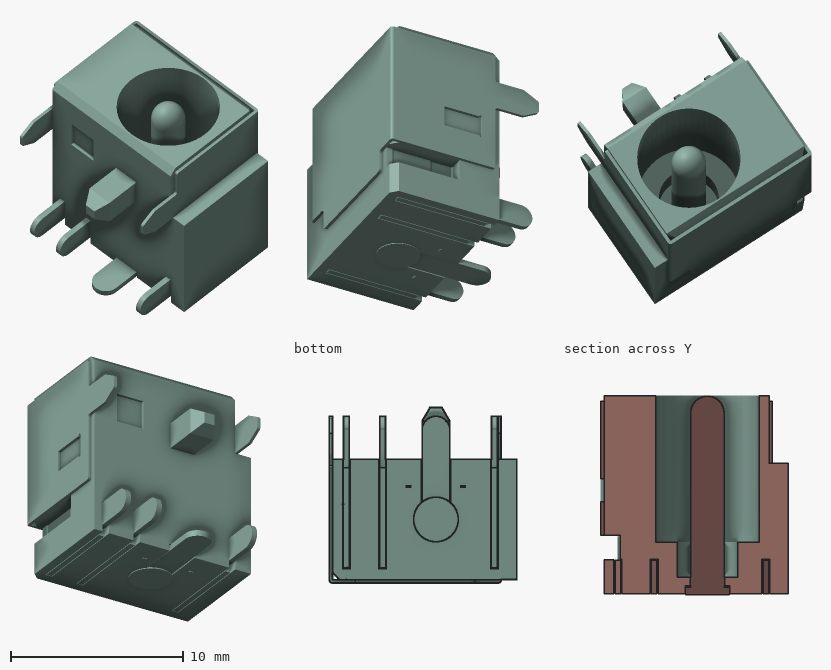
import cadquery as cq


LEFT_X = -6.0
RIGHT_X = 3.6
FOOT_RIGHT_X = 4.7
DEPTH = 7.0
HEIGHT = 11.52
FRONT_Y = -DEPTH / 2
BACK_Y = DEPTH / 2
FOOT_TOP = 7.62
EDGE_CHAMFER = 0.4

BORE_DIAMETER = 6.0
BORE_FLOOR = 3.01
WELL_DIAMETER = 3.49
WELL_FLOOR = 1.0
PIN_DIAMETER = 2.0
PIN_TOP = HEIGHT
RIVET_DIAMETER = 2.59

PEG_SIZE = 1.62
PEG_TIP_SIZE = 0.69
PEG_LENGTH = 3.01
PEG_TAPER = 0.8
PEG_Z = 7.55

RECESS_SIZE = 1.8
RECESS_DEPTH = 0.2
RECESS_X = -3.55
RECESS_Z = 8.41

TERMINAL_XS = [-5.21, -3.1, 3.4]
TERMINAL_REACH = 2.5
TERMINAL_THICKNESS = 0.35
TERMINAL_TOP = 1.97
TERMINAL_HEIGHT = 1.47
SHOULDER_INSET = 0.5
CLEARANCE = 0.05
SLOT_LENGTH = 6.35
SLOT_TOP = 2.0

TAIL_WIDTH = 1.62
TAIL_BOTTOM = 0.03
TAIL_TOP = 0.4
TAIL_SLOT_TOP = TAIL_TOP + CLEARANCE
TAIL_SLOT_HALF = TAIL_WIDTH / 2 + CLEARANCE

POCKET_LENGTH = 4.4
POCKET_DEPTH = 0.79
POCKET_STEP_DEPTH = 0.07
POCKET_STEP_RUN = 0.09
POCKET_STEPS = [0.4, 2.94]

NUB_HEIGHT = 0.05
NUB_LENGTH = 0.27
NUB_WIDTH = 0.09
NUB_X = 1.59
NUB_Y = -1.91

SHEET = 0.2
SHIELD_TOP = 11.22
SHIELD_BOTTOM = 3.39
SHIELD_FRONT_Y = FRONT_Y + 0.35
BEND_RADIUS = 0.19
TAB_RADIUS = 0.2
CORNER_RADIUS = 0.15
PRONG_HEIGHT = 1.8
PRONG_TAPER = 1.0
PRONG_TIP_HEIGHT = 0.74
PRONG_TIP_RADIUS = 0.2
PRONG_TOP = FOOT_TOP + PRONG_HEIGHT
TAB_INSET = 1.5
WINDOW_HEIGHT = 1.32
WINDOW_LENGTH = 2.48
WINDOW_FRONT_Y = FRONT_Y + 1.23
WINDOW_Z = 6.03
RELIEF_LENGTH = 0.2
RELIEF_HEIGHT = 1.52
RELIEF_RADIUS = 0.09


def block(x_range, y_range, z_range):
    """Box between two limits along each axis."""
    lows, highs = zip(x_range, y_range, z_range)
    sizes = [high - low for low, high in zip(lows, highs)]
    return cq.Workplane().box(*sizes, centered=False).translate(lows)


def disc(diameter, bottom, top):
    """Cylinder on the bore axis."""
    return cq.Workplane().workplane(offset=bottom).circle(diameter / 2).extrude(top - bottom)


def housing_block():
    """Chamfered upper block on a wider foot."""
    upper = block((LEFT_X, RIGHT_X), (FRONT_Y, BACK_Y), (0, HEIGHT))
    upper = upper.edges("|Z and >Y").chamfer(EDGE_CHAMFER)
    upper = upper.faces(">Z").edges("<Y or >Y").chamfer(EDGE_CHAMFER)
    foot = block((0, FOOT_RIGHT_X), (FRONT_Y, BACK_Y), (0, FOOT_TOP))
    return upper.union(foot)


def locating_peg():
    """Square peg with a tapered tip, pointing to -Y."""
    straight = PEG_LENGTH - PEG_TAPER
    plane = cq.Workplane("XZ", origin=(0, FRONT_Y, PEG_Z))
    shank = plane.rect(PEG_SIZE, PEG_SIZE).extrude(straight)
    tip = (
        plane.workplane(offset=straight)
        .rect(PEG_SIZE, PEG_SIZE)
        .workplane(offset=PEG_TAPER)
        .rect(PEG_TIP_SIZE, PEG_TIP_SIZE)
        .loft(ruled=True)
    )
    return shank.union(tip)


def side_pocket():
    """Pocket in the left side, open to the back."""
    depth = POCKET_DEPTH
    outline = [(LEFT_X, BACK_Y), (LEFT_X + depth, BACK_Y)]
    for distance in POCKET_STEPS:
        outline.append((LEFT_X + depth, BACK_Y - distance))
        depth += POCKET_STEP_DEPTH
        outline.append((LEFT_X + depth, BACK_Y - distance - POCKET_STEP_RUN))
    end_y = BACK_Y - POCKET_LENGTH
    outline += [
        (LEFT_X + depth, end_y + POCKET_STEP_RUN),
        (LEFT_X + depth - POCKET_STEP_RUN, end_y),
        (LEFT_X, end_y),
    ]
    pocket = cq.Workplane().workplane(offset=SLOT_TOP).polyline(outline).close()
    return pocket.extrude(SHIELD_BOTTOM - SLOT_TOP)


def front_recess():
    """Shallow square recess in the front face."""
    plane = cq.Workplane("XZ", origin=(RECESS_X, FRONT_Y, RECESS_Z))
    return plane.rect(RECESS_SIZE, RECESS_SIZE).extrude(-RECESS_DEPTH)


def terminal_slot(x):
    """Slot for one side terminal, open at the front and underneath."""
    half_width = TERMINAL_THICKNESS / 2 + CLEARANCE
    return block((x - half_width, x + half_width), (FRONT_Y, FRONT_Y + SLOT_LENGTH), (0, SLOT_TOP))


def make_housing():
    """Housing with its bore, openings for the metal parts, peg and nubs."""
    body = housing_block().union(locating_peg())
    body = body.cut(disc(BORE_DIAMETER, BORE_FLOOR, HEIGHT))
    body = body.cut(disc(WELL_DIAMETER, WELL_FLOOR, BORE_FLOOR))
    body = body.cut(disc(PIN_DIAMETER, 0, WELL_FLOOR))
    body = body.cut(disc(RIVET_DIAMETER, 0, TAIL_SLOT_TOP))
    body = body.cut(block((-TAIL_SLOT_HALF, TAIL_SLOT_HALF), (FRONT_Y, 0), (0, TAIL_SLOT_TOP)))
    body = body.cut(side_pocket()).cut(front_recess())
    for x in TERMINAL_XS:
        body = body.cut(terminal_slot(x))
    nubs = (
        cq.Workplane()
        .pushPoints([(-NUB_X, NUB_Y), (NUB_X, NUB_Y)])
        .rect(NUB_LENGTH, NUB_WIDTH)
        .extrude(-NUB_HEIGHT)
    )
    return body.union(nubs)


def make_centre_contact():
    """Round-tipped pin riveted to a flat tail with a round end."""
    pin_radius = PIN_DIAMETER / 2
    dome_z = PIN_TOP - pin_radius
    dome = cq.Workplane().sphere(pin_radius).translate((0, 0, dome_z))
    pin = disc(PIN_DIAMETER, TAIL_BOTTOM, dome_z).union(dome)
    rivet = disc(RIVET_DIAMETER, -NUB_HEIGHT, TAIL_TOP)
    round_y = FRONT_Y - TERMINAL_REACH + TAIL_WIDTH / 2
    tail = block((-TAIL_WIDTH / 2, TAIL_WIDTH / 2), (round_y, 0), (TAIL_BOTTOM, TAIL_TOP))
    tail_end = disc(TAIL_WIDTH, TAIL_BOTTOM, TAIL_TOP).translate((0, round_y, 0))
    return pin.union(rivet).union(tail).union(tail_end)


def make_terminal(x):
    """Upright blade: a round-ended tongue outside and a taller shank inside its slot."""
    radius = TERMINAL_HEIGHT / 2
    bottom = TERMINAL_TOP - TERMINAL_HEIGHT
    middle = TERMINAL_TOP - radius
    tip_y = FRONT_Y - TERMINAL_REACH
    shoulder_y = FRONT_Y + SHOULDER_INSET
    end_y = FRONT_Y + SLOT_LENGTH - CLEARANCE
    outline = (
        cq.Workplane("YZ", origin=(x - TERMINAL_THICKNESS / 2, 0, 0))
        .moveTo(end_y, TERMINAL_TOP)
        .lineTo(tip_y + radius, TERMINAL_TOP)
        .threePointArc((tip_y, middle), (tip_y + radius, bottom))
        .lineTo(shoulder_y, bottom)
        .lineTo(shoulder_y, 0)
        .lineTo(end_y, 0)
        .close()
    )
    return outline.extrude(TERMINAL_THICKNESS)


def side_plate(left_x, bottom):
    """One side of the shield with its solder prong, reaching down to the given height."""
    tip_y = FRONT_Y - TERMINAL_REACH
    taper_y = tip_y + PRONG_TAPER
    middle = FOOT_TOP + PRONG_HEIGHT / 2
    tip_top = middle + PRONG_TIP_HEIGHT / 2
    tip_bottom = middle - PRONG_TIP_HEIGHT / 2
    prong = (
        cq.Workplane("YZ", origin=(left_x, 0, 0))
        .polyline([
            (0, PRONG_TOP),
            (taper_y, PRONG_TOP),
            (tip_y, tip_top),
            (tip_y, tip_bottom),
            (taper_y, FOOT_TOP),
            (0, FOOT_TOP),
        ])
        .close()
        .extrude(SHEET)
        .edges("|X and <Y")
        .fillet(PRONG_TIP_RADIUS)
    )
    sheet = block((left_x, left_x + SHEET), (SHIELD_FRONT_Y, BACK_Y), (bottom, SHIELD_TOP))
    plate = sheet.union(prong).clean()
    corner_heights = [SHIELD_TOP, PRONG_TOP]
    if bottom < FOOT_TOP:
        corner_heights += [FOOT_TOP, bottom]
    for z in corner_heights:
        corner = cq.selectors.NearestToPointSelector((left_x + SHEET / 2, SHIELD_FRONT_Y, z))
        plate = plate.edges("|X").edges(corner).fillet(CORNER_RADIUS)
    return plate


def back_plate():
    """Back of the shield with rounded bends and a narrower tab below, filleted at its root."""
    left = LEFT_X - SHEET
    right = RIGHT_X + SHEET
    plate = block((left, right), (BACK_Y, BACK_Y + SHEET), (SHIELD_BOTTOM, SHIELD_TOP))
    plate = plate.edges("|Z and >Y").fillet(BEND_RADIUS)
    tab = block(
        (left + TAB_INSET, right - TAB_INSET),
        (BACK_Y, BACK_Y + SHEET),
        (SLOT_TOP, SHIELD_BOTTOM),
    )
    tab = tab.edges("|Y and <Z").fillet(TAB_RADIUS)
    plate = plate.union(tab)
    for x in (left + TAB_INSET, right - TAB_INSET):
        root = cq.selectors.NearestToPointSelector((x, BACK_Y + SHEET / 2, SHIELD_BOTTOM))
        plate = plate.edges("|Y").edges(root).fillet(TAB_RADIUS)
    return plate


def side_window():
    """Opening in the left side plate, with a taller rounded relief at its front end."""
    x_range = (LEFT_X - SHEET, LEFT_X)
    y_range = (WINDOW_FRONT_Y, WINDOW_FRONT_Y + WINDOW_LENGTH)
    opening = block(x_range, y_range, (WINDOW_Z - WINDOW_HEIGHT / 2, WINDOW_Z + WINDOW_HEIGHT / 2))
    relief = block(
        x_range,
        (WINDOW_FRONT_Y, WINDOW_FRONT_Y + RELIEF_LENGTH),
        (WINDOW_Z - RELIEF_HEIGHT / 2, WINDOW_Z + RELIEF_HEIGHT / 2),
    )
    return opening.union(relief.edges("|X").fillet(RELIEF_RADIUS))


def make_shield():
    """U-shaped sheet around the back and both sides of the housing."""
    left_plate = side_plate(LEFT_X - SHEET, SHIELD_BOTTOM)
    right_plate = side_plate(RIGHT_X, FOOT_TOP)
    return back_plate().union(left_plate).union(right_plate).cut(side_window())


housing = make_housing()
shield = make_shield()
centre_contact = make_centre_contact()
terminals = [make_terminal(x) for x in TERMINAL_XS]

result = cq.Compound.makeCompound([
    housing.val(),
    shield.val(),
    centre_contact.val(),
    *[terminal.val() for terminal in terminals],
])